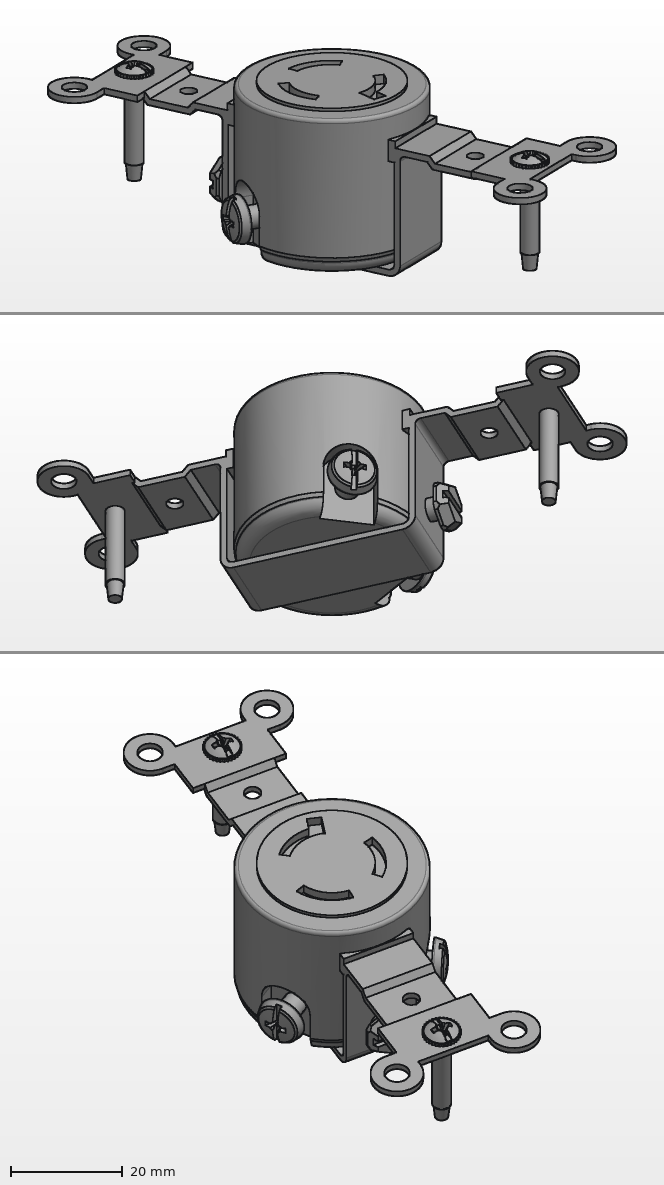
import cadquery as cq
import math

body_radius = 17.5
body_top = 31.3
top_edge_round = 0.7
face_radius = 13.5
face_height = 0.6
base_radius = 17.2
base_top = 3.8
base_taper_top = 4.6
base_round = 2.4

slot_inner_radius = 7.7
slot_outer_radius = 9.7
slot_depth = 1.8
slot_angles = [(111, 175), (220, 284), (-19, 49)]
key_angle = -19
key_width = 2.7
key_outer_radius = 11.9

sheet = 1.2
half_length = 51.6
strap_width = 14.1
cradle_half = 18.7
cradle_outer_round = 2.5
cradle_inner_round = cradle_outer_round - sheet
strap_top = 24.9
strap_bottom = strap_top - sheet
strap_root_round = 1.0
dip_start = 24.9
dip_end = 35.1
dip_depth = 1.2
dip_run = 1.1
dip_miter = sheet * math.tan(math.radians(22.5))
strap_hole_x = 30.1
strap_hole_radius = 1.5
tab_inner = 16.2
tab_outer = 17.6
tab_bottom = 22.1
tab_top = 26.2

plate_outer = 46.0
plate_width = 18.9
ear_radius = 4.7
ear_hole_radius = 2.3
ear_x = half_length - ear_radius
ear_y = 11.9

mount_x = 41.6
mount_radius = 1.8
mount_length = 17.3
mount_tip_length = 3.2
mount_tip_radius = 1.5
mount_tip_end_radius = 1.2
mount_head_height = 1.8
mount_flange_radius = 3.5
mount_flange_root_radius = 3.3
mount_flange_height = 0.6
mount_flange_teeth = 32
mount_dome_radius = 3.2
mount_slot_depth = 1.0

screw_z = 8.4
screw_radius = 2.2
terminal_angle = 122.5
terminal_seat = 18.2
terminal_head_radius = 4.5
terminal_rim_height = 0.3
terminal_shoulder_radius = 4.1
terminal_shoulder_height = 1.8
terminal_dome_radius = 3.7
terminal_dome_base = 2.1
terminal_head_height = 2.7
terminal_slot_depth = 1.5
ground_seat = 21.0
ground_corner_radius = 4.6
ground_flat_width = 8.7
ground_prism_height = 0.6
ground_bevel_height = 2.0
ground_bevel_inset = 1.0
ground_head_height = ground_prism_height + ground_bevel_height
ground_slot_width = 1.4
ground_slot_depth = 0.9

recess_width = 1.0
cross_length = 4.4
cross_depth = 2.1
cross_floor_length = 1.4
cross_floor_width = 0.5
socket_radius = 1.1

pocket_floor = 13.3
pocket_half_width = 5.0
pocket_arch_z = 10.4


def polar(radius, degrees):
    angle = math.radians(degrees)
    return radius * math.cos(angle), radius * math.sin(angle)


def block(x_min, x_max, width, z_min, z_max):
    """Box centred on Y between the given X and Z limits."""
    box = cq.Workplane("XY").box(x_max - x_min, width, z_max - z_min)
    return box.translate(((x_min + x_max) / 2, 0, (z_min + z_max) / 2))


def both_ends(shape):
    return shape.union(shape.mirror("YZ"))


def face_radially(shape, degrees):
    """Turn a part built along +Z so it points outward at the screw height."""
    outward = shape.rotate((0, 0, 0), (0, 1, 0), 90)
    return outward.rotate((0, 0, 0), (0, 0, 1), degrees).translate((0, 0, screw_z))


def housing_blank():
    lower = (
        cq.Workplane("XY").workplane(offset=sheet).circle(base_radius)
        .extrude(base_top - sheet).faces("<Z").edges().fillet(base_round)
    )
    taper = (
        cq.Workplane("XY").workplane(offset=base_top).circle(base_radius)
        .workplane(offset=base_taper_top - base_top).circle(body_radius).loft()
    )
    upper = (
        cq.Workplane("XY").workplane(offset=base_taper_top).circle(body_radius)
        .extrude(body_top - base_taper_top).faces(">Z").edges().fillet(top_edge_round)
    )
    face = (
        cq.Workplane("XY").workplane(offset=body_top).circle(face_radius).extrude(face_height)
    )
    return lower.union(taper).union(upper).union(face)


def blade_slots():
    floor = body_top + face_height - slot_depth
    plane = cq.Workplane("XY").workplane(offset=floor)
    key = block(slot_inner_radius, key_outer_radius, key_width, floor, floor + slot_depth)
    slots = key.translate((0, key_width / 2, 0)).rotate((0, 0, 0), (0, 0, 1), key_angle)
    for start, end in slot_angles:
        middle = (start + end) / 2
        slots = slots.union(
            plane.moveTo(*polar(slot_inner_radius, start))
            .lineTo(*polar(slot_outer_radius, start))
            .threePointArc(polar(slot_outer_radius, middle), polar(slot_outer_radius, end))
            .lineTo(*polar(slot_inner_radius, end))
            .threePointArc(polar(slot_inner_radius, middle), polar(slot_inner_radius, start))
            .close().extrude(slot_depth)
        )
    return slots


def terminal_pocket(degrees):
    """Round-topped pocket that runs out through the housing bottom."""
    pocket = (
        cq.Workplane("YZ").workplane(offset=pocket_floor)
        .moveTo(-pocket_half_width, 0)
        .lineTo(pocket_half_width, 0)
        .lineTo(pocket_half_width, pocket_arch_z)
        .threePointArc((0, pocket_arch_z + pocket_half_width), (-pocket_half_width, pocket_arch_z))
        .close().extrude(body_radius - pocket_floor)
    )
    return pocket.rotate((0, 0, 0), (0, 0, 1), degrees)


def cradle():
    outer = block(-cradle_half, cradle_half, strap_width, 0, strap_top)
    outer = outer.faces("<Z").edges("|Y").fillet(cradle_outer_round)
    inside = cradle_half - sheet
    inner = block(-inside, inside, strap_width, sheet, strap_top)
    return outer.cut(inner.faces("<Z").edges("|Y").fillet(cradle_inner_round))


def strap():
    """Stepped strap on the +X side, blended into the cradle wall."""
    root = cradle_half + strap_root_round
    arc_reach = strap_root_round * (1 - math.sqrt(0.5))
    low_start = dip_start + dip_run
    low_end = dip_end - dip_run
    profile = (
        cq.Workplane("XZ")
        .moveTo(tab_inner, strap_top)
        .lineTo(dip_start, strap_top)
        .lineTo(low_start, strap_top - dip_depth)
        .lineTo(low_end, strap_top - dip_depth)
        .lineTo(dip_end, strap_top)
        .lineTo(plate_outer, strap_top)
        .lineTo(plate_outer, strap_bottom)
        .lineTo(dip_end + dip_miter, strap_bottom)
        .lineTo(low_end + dip_miter, strap_bottom - dip_depth)
        .lineTo(low_start - dip_miter, strap_bottom - dip_depth)
        .lineTo(dip_start - dip_miter, strap_bottom)
        .lineTo(root, strap_bottom)
        .threePointArc(
            (cradle_half + arc_reach, strap_bottom - arc_reach),
            (cradle_half, strap_bottom - strap_root_round),
        )
        .lineTo(tab_inner, strap_bottom - strap_root_round)
        .close().extrude(strap_width / 2, both=True)
    )
    hole = (
        cq.Workplane("XY").center(strap_hole_x, 0).circle(strap_hole_radius).extrude(strap_top)
    )
    tab = block(tab_inner, tab_outer, strap_width, tab_bottom, tab_top)
    return profile.cut(hole).union(tab)


def end_plate():
    """Flat plate on the +X side with two ears at its outer corners."""
    plate = block(dip_end, plate_outer, plate_width, strap_bottom, strap_top)
    sheet_plane = cq.Workplane("XY").workplane(offset=strap_bottom)
    ear_centers = [(ear_x, ear_y), (ear_x, -ear_y)]
    ears = sheet_plane.pushPoints(ear_centers).circle(ear_radius).extrude(sheet)
    for side in (1, -1):
        web_center = (ear_x - ear_radius / 2, side * (ear_y - ear_radius / 2))
        web = sheet_plane.center(*web_center).rect(ear_radius, ear_radius).extrude(sheet)
        plate = plate.union(web)
    holes = sheet_plane.pushPoints(ear_centers).circle(ear_hole_radius).extrude(sheet)
    return plate.union(ears).cut(holes)


def dome_midpoint(rim_radius, base_height, apex_height):
    """Point halfway along a circular arc from the dome rim to its apex on the axis."""
    rise = apex_height - base_height
    sphere_radius = (rim_radius**2 + rise**2) / (2 * rise)
    half_sweep = math.asin(rim_radius / sphere_radius) / 2
    drop = sphere_radius * (1 - math.cos(half_sweep))
    return sphere_radius * math.sin(half_sweep), apex_height - drop


def driver_recess(head_radius, head_height, straight_slot_depth):
    """Full-width slot along X combined with a deeper tapered cross in the middle."""
    slot_floor = head_height - straight_slot_depth
    slot = block(-head_radius, head_radius, recess_width, slot_floor, head_height)
    arm = (
        cq.Workplane("XY").workplane(offset=head_height).rect(cross_length, recess_width)
        .workplane(offset=-cross_depth).rect(cross_floor_length, cross_floor_width).loft()
    )
    socket = (
        cq.Workplane("XY").workplane(offset=head_height).circle(socket_radius)
        .workplane(offset=-cross_depth).circle(cross_floor_width / 2).loft()
    )
    return slot.union(arm).union(arm.rotate((0, 0, 0), (0, 0, 1), 90)).union(socket)


def mounting_screw():
    """Pan-head screw with a toothed flange, seated on Z = 0."""
    teeth_points = []
    for step in range(2 * mount_flange_teeth):
        radius = mount_flange_root_radius if step % 2 else mount_flange_radius
        teeth_points.append(polar(radius, step * 180 / mount_flange_teeth))
    flange = cq.Workplane("XY").polyline(teeth_points).close().extrude(mount_flange_height)
    shank_end = -mount_length
    tip_end = shank_end - mount_tip_length
    dome_middle = dome_midpoint(mount_dome_radius, mount_flange_height, mount_head_height)
    core = (
        cq.Workplane("XZ")
        .moveTo(0, tip_end)
        .lineTo(mount_tip_end_radius, tip_end)
        .lineTo(mount_tip_radius, shank_end)
        .lineTo(mount_radius, shank_end)
        .lineTo(mount_radius, 0)
        .lineTo(mount_dome_radius, 0)
        .lineTo(mount_dome_radius, mount_flange_height)
        .threePointArc(dome_middle, (0, mount_head_height))
        .close().revolve(360, (0, 0), (0, 1))
    )
    recess = driver_recess(mount_flange_radius, mount_head_height, mount_slot_depth)
    return core.union(flange).cut(recess)


def terminal_screw():
    """Domed screw whose head seat lies on Z = 0 and whose slot runs along X."""
    shank_length = terminal_seat - pocket_floor
    dome_middle = dome_midpoint(terminal_dome_radius, terminal_dome_base, terminal_head_height)
    body = (
        cq.Workplane("XZ")
        .moveTo(0, -shank_length)
        .lineTo(screw_radius, -shank_length)
        .lineTo(screw_radius, 0)
        .lineTo(terminal_head_radius, 0)
        .lineTo(terminal_head_radius, terminal_rim_height)
        .lineTo(terminal_shoulder_radius, terminal_shoulder_height)
        .lineTo(terminal_dome_radius, terminal_dome_base)
        .threePointArc(dome_middle, (0, terminal_head_height))
        .close().revolve(360, (0, 0), (0, 1))
    )
    return body.cut(driver_recess(terminal_head_radius, terminal_head_height, terminal_slot_depth))


def ground_screw():
    """Slotted hexagon-head screw whose head seat lies on Z = 0."""
    corner_diameter = ground_flat_width / math.cos(math.radians(30))
    face_diameter = corner_diameter - 2 * ground_bevel_inset / math.cos(math.radians(30))
    prism = cq.Workplane("XY").polygon(6, corner_diameter).extrude(ground_prism_height)
    bevel = (
        cq.Workplane("XY").workplane(offset=ground_prism_height).polygon(6, corner_diameter)
        .workplane(offset=ground_bevel_height).polygon(6, face_diameter).loft()
    )
    corner_trim = cq.Workplane("XY").circle(ground_corner_radius).extrude(ground_head_height)
    shank_length = ground_seat - cradle_half
    shank = cq.Workplane("XY").circle(screw_radius).extrude(-shank_length)
    slot = block(
        -ground_slot_width / 2, ground_slot_width / 2, corner_diameter,
        ground_head_height - ground_slot_depth, ground_head_height,
    )
    return prism.union(bevel).intersect(corner_trim).union(shank).cut(slot)


housing = housing_blank().cut(blade_slots())
for angle in (terminal_angle, -terminal_angle):
    housing = housing.cut(terminal_pocket(angle))

bracket = cradle().union(both_ends(strap())).union(both_ends(end_plate()))
result = housing.union(bracket)

for side_x in (-mount_x, mount_x):
    result = result.union(mounting_screw().translate((side_x, 0, strap_top)))
for angle in (terminal_angle, -terminal_angle):
    screw = terminal_screw().translate((0, 0, terminal_seat))
    result = result.union(face_radially(screw, angle))
result = result.union(face_radially(ground_screw().translate((0, 0, ground_seat)), 180))